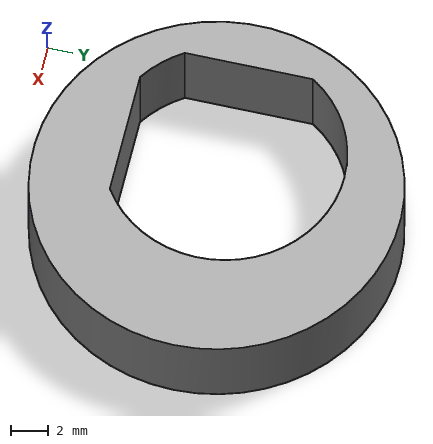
import cadquery as cq

ring_diameter = 19.8
ring_height = 4.83

bore_diameter = 12.87
bore_offset_x = -1.98
flat_distance = 5.43


def flatted_bore():
    """Cylinder with flats on its -X and -Y sides, centred on the bore axis."""
    bore = cq.Workplane("XY").circle(bore_diameter / 2).extrude(ring_height)
    flats = (
        cq.Workplane("XY")
        .rect(bore_diameter, bore_diameter, centered=False)
        .extrude(ring_height)
        .translate((-flat_distance, -flat_distance, 0))
    )
    return bore.intersect(flats)


ring = cq.Workplane("XY").circle(ring_diameter / 2).extrude(ring_height)
result = ring.cut(flatted_bore().translate((bore_offset_x, 0, 0)))